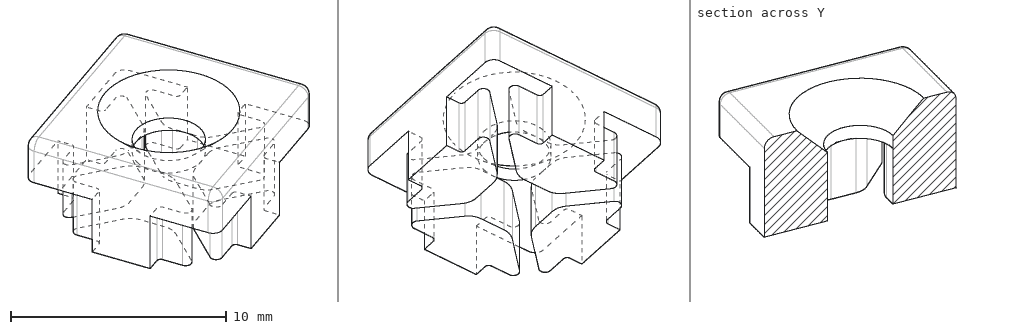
import cadquery as cq
import math

side = 10.0
plate_thickness = 2.3
plate_round = 0.5

hole_diameter = 3.4
countersink_diameter = 6.6
countersink_angle = 90.0

foot_count = 4
foot_height = 3.0
stem_width = 3.0
flange_inner = hole_diameter / 2
flange_outer = 4.1
foot_gap = 0.9
root_round = 0.2
tip_round = 0.3
inner_round = 1.0


def make_plate():
    """Cover plate with rounded vertical and top edges and the countersunk hole."""
    plate = cq.Workplane("XY").workplane(offset=foot_height)
    plate = plate.rect(side, side).extrude(plate_thickness)
    plate = plate.edges("|Z").fillet(plate_round)
    plate = plate.faces(">Z").edges().fillet(plate_round)
    plate = plate.faces(">Z").workplane(origin=(0, 0, foot_height + plate_thickness))
    return plate.cskHole(hole_diameter, countersink_diameter, countersink_angle)


def round_edge_pair(body, x, y, radius):
    """Round the two vertical edges standing at (x, y) and (x, -y)."""
    for edge_y in (y, -y):
        nearest = cq.selectors.NearestToPointSelector((x, edge_y, foot_height / 2))
        body = body.edges("|Z").edges(nearest).fillet(radius)
    return body


def make_foot():
    """T-shaped foot towards +X; its flange sides run parallel to the plate diagonals."""
    slit_offset = foot_gap / math.sqrt(2)
    inner_half = flange_inner - slit_offset
    outer_half = flange_outer - slit_offset
    stem_half = stem_width / 2
    half_outline = [
        (flange_inner, inner_half),
        (flange_outer, outer_half),
        (flange_outer, stem_half),
        (side / 2, stem_half),
    ]
    mirrored_half = [(x, -y) for x, y in reversed(half_outline)]
    foot = cq.Workplane("XY").polyline(half_outline + mirrored_half).close().extrude(foot_height)
    foot = round_edge_pair(foot, flange_inner, inner_half, inner_round)
    foot = round_edge_pair(foot, flange_outer, outer_half, tip_round)
    return round_edge_pair(foot, flange_outer, stem_half, root_round)


result = make_plate()
foot = make_foot()
for index in range(foot_count):
    angle = index * 360 / foot_count
    result = result.union(foot.rotate((0, 0, 0), (0, 0, 1), angle))